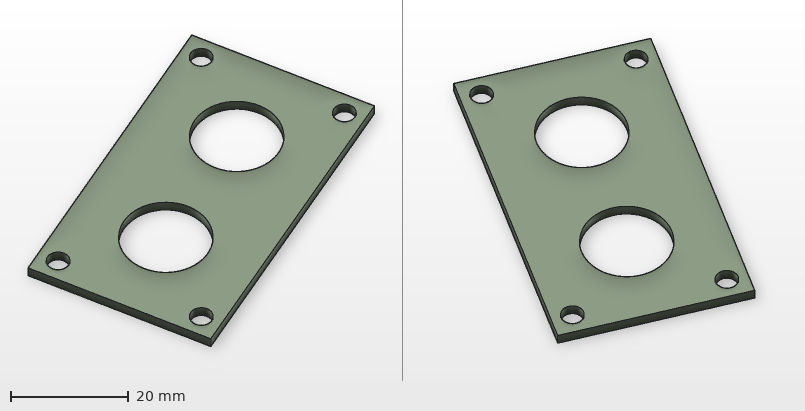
import cadquery as cq

width = 35.0
length = 60.0
thickness = 2.0

opening_diameter = 16.0
opening_spacing = 26.0

mount_diameter = 4.0
mount_inset = 3.8
mount_spacing_x = width - 2 * mount_inset
mount_spacing_y = length - 2 * mount_inset

plate = cq.Workplane("XY").box(width, length, thickness)

with_openings = (
    plate.faces(">Z").workplane()
    .rarray(0.6, opening_spacing, 1, 2)
    .hole(opening_diameter)
)

result = (
    with_openings.faces(">Z").workplane()
    .rarray(mount_spacing_x, mount_spacing_y, 2, 2)
    .hole(mount_diameter)
)